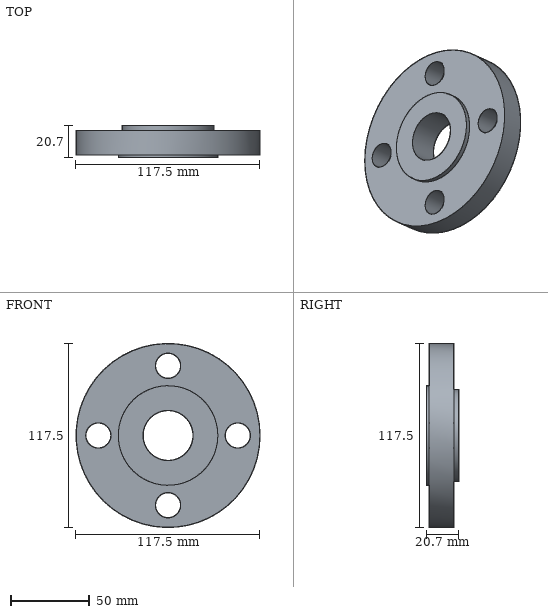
import cadquery as cq

flange_diameter = 117.5
flange_thickness = 15.9

face_diameter = 63.5
face_height = 1.6

hub_diameter = 58.7
hub_height = 3.2

bore_diameter = 31.7
bolt_hole_diameter = 15.9
bolt_circle_diameter = 88.9
bolt_count = 4

total_thickness = face_height + flange_thickness + hub_height


def cylinder(diameter, y_start, length):
    """Cylinder about the Y axis, running from y_start toward +Y."""
    plane = cq.Workplane("XZ", origin=(0, y_start, 0))
    return plane.circle(diameter / 2).extrude(-length)


sealing_face = cylinder(face_diameter, 0, face_height)
flange = cylinder(flange_diameter, face_height, flange_thickness)
hub = cylinder(hub_diameter, face_height + flange_thickness, hub_height)
body = sealing_face.union(flange).union(hub)

bore = cylinder(bore_diameter, 0, total_thickness)
bolt_holes = (
    cq.Workplane("XZ")
    .polarArray(bolt_circle_diameter / 2, 0, 360, bolt_count)
    .circle(bolt_hole_diameter / 2)
    .extrude(-total_thickness)
)

result = body.cut(bore).cut(bolt_holes)